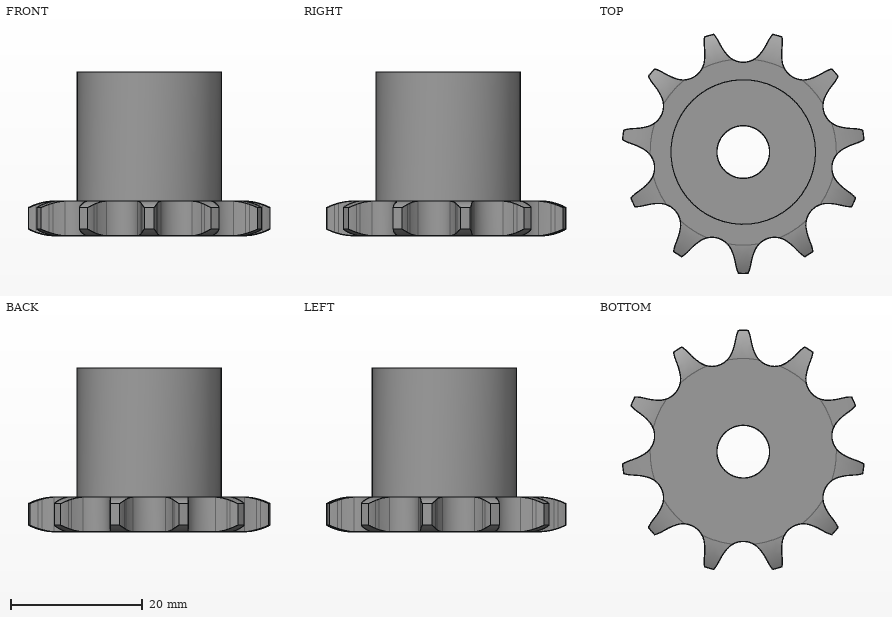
import cadquery as cq
import math


tooth_count = 11
chain_pitch = 9.53
roller_diameter = 6.35
seat_clearance = 0.05

tip_diameter = 37.0
plate_thickness = 5.35
rim_relief_depth = 1.03
rim_relief_radius = chain_pitch

hub_diameter = 22.0
bore_diameter = 8.0
total_height = 25.0

half_step = math.pi / tooth_count
pitch_radius = chain_pitch / (2 * math.sin(half_step))
tip_radius = tip_diameter / 2

seat_radius = 0.5025 * roller_diameter + seat_clearance
working_center_distance = 0.8 * roller_diameter
working_radius = seat_radius + working_center_distance
topping_center_distance = 1.4 * roller_diameter
seat_angle = math.radians(35 + 60 / tooth_count)
working_angle = math.radians(18 - 56 / tooth_count)


def polar(radius, angle, center=(0, 0)):
    """Point at a radius and angle from a center."""
    return (center[0] + radius * math.cos(angle), center[1] + radius * math.sin(angle))


def gap_flank_points():
    """Points of the right flank of the gap centered on +Y, from its bottom to the tip circle."""
    roller_center = (0, pitch_radius)
    gap_bottom = (0, pitch_radius - seat_radius)
    seat_end = polar(seat_radius, -seat_angle, roller_center)

    working_center = polar(working_center_distance, math.pi - seat_angle, roller_center)
    flank_angle = working_angle - seat_angle
    working_middle = polar(working_radius, (flank_angle - seat_angle) / 2, working_center)
    working_end = polar(working_radius, flank_angle, working_center)

    topping_center = polar(topping_center_distance, -half_step, roller_center)
    topping_radius = (
        (topping_center[0] - working_end[0]) * math.cos(flank_angle)
        + (topping_center[1] - working_end[1]) * math.sin(flank_angle)
    )
    topping_start = polar(topping_radius, flank_angle + math.pi, topping_center)

    center_radius = math.hypot(*topping_center)
    center_angle = math.atan2(topping_center[1], topping_center[0])
    turn = math.acos(
        (center_radius**2 + tip_radius**2 - topping_radius**2) / (2 * center_radius * tip_radius)
    )
    tip_corner = polar(tip_radius, center_angle + turn)
    topping_end_angle = math.atan2(tip_corner[1] - topping_center[1], tip_corner[0] - topping_center[0])
    topping_middle_angle = (flank_angle + math.pi + topping_end_angle) / 2
    topping_middle = polar(topping_radius, topping_middle_angle, topping_center)

    return [gap_bottom, seat_end, working_middle, working_end, topping_start, topping_middle, tip_corner]


def turned(point, angle):
    """Point turned about the sprocket axis."""
    return polar(math.hypot(*point), math.atan2(point[1], point[0]) + angle)


def tooth_outline():
    """Closed outline of all gaps and tooth tips, traced clockwise from the gap at +Y."""
    right_flank = gap_flank_points()
    left_flank = [(-x, y) for x, y in right_flank]
    outline = cq.Workplane("XY").moveTo(*left_flank[-1])
    for index in range(tooth_count):
        angle = -2 * half_step * index
        left = [turned(point, angle) for point in left_flank]
        right = [turned(point, angle) for point in right_flank]
        bottom, left_seat, left_work_mid, left_work, left_top, left_top_mid, _ = left
        _, right_seat, right_work_mid, right_work, right_top, right_top_mid, right_tip = right
        tip_middle = polar(tip_radius, math.pi / 2 - half_step + angle)
        next_tip = turned(left_flank[-1], angle - 2 * half_step)
        outline = (
            outline.threePointArc(left_top_mid, left_top)
            .lineTo(*left_work)
            .threePointArc(left_work_mid, left_seat)
            .threePointArc(bottom, right_seat)
            .threePointArc(right_work_mid, right_work)
            .lineTo(*right_top)
            .threePointArc(right_top_mid, right_tip)
            .threePointArc(tip_middle, next_tip)
        )
    return outline.close()


def relieved_disk():
    """Plain disk whose two faces curve away, tangent to the flat, toward the tip circle."""
    relief_angle = math.acos(1 - rim_relief_depth / rim_relief_radius)
    flat_radius = tip_radius - rim_relief_radius * math.sin(relief_angle)
    middle_radius = flat_radius + rim_relief_radius * math.sin(relief_angle / 2)
    middle_depth = rim_relief_radius * (1 - math.cos(relief_angle / 2))
    return (
        cq.Workplane("XZ")
        .lineTo(flat_radius, 0)
        .threePointArc((middle_radius, middle_depth), (tip_radius, rim_relief_depth))
        .lineTo(tip_radius, plate_thickness - rim_relief_depth)
        .threePointArc((middle_radius, plate_thickness - middle_depth), (flat_radius, plate_thickness))
        .lineTo(0, plate_thickness)
        .close()
        .revolve(360, (0, 0, 0), (0, 1, 0))
    )


toothed_plate = tooth_outline().extrude(plate_thickness).intersect(relieved_disk())
hub = cq.Workplane("XY").circle(hub_diameter / 2).extrude(total_height)
bore = cq.Workplane("XY").circle(bore_diameter / 2).extrude(total_height)

result = toothed_plate.union(hub).cut(bore)